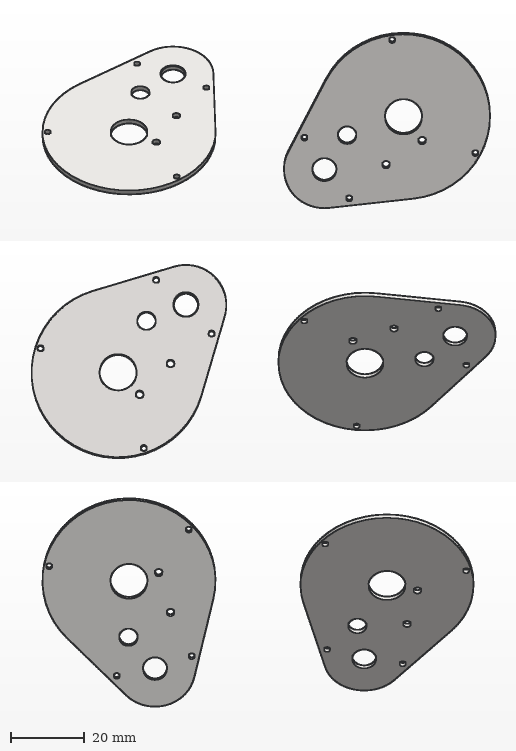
import cadquery as cq
import math

length = 60.75
thickness = 1.5
large_radius = 23.5
small_radius = 11.0
center_distance = length - large_radius - small_radius

main_bore_diameter = 10.0
upper_bore_diameter = 6.5
upper_bore_chamfer = 0.2
side_hole_diameter = 5.0
side_hole_center = (-4.5, 15.55)

pair_hole_diameter = 2.05
pair_hole_centers = [(8.45, -0.25), (8.45, 11.7)]

rim_hole_diameter = 1.65
upper_rim_hole = (10.6, 25.45)
lower_rim_hole = (19.7, -10.0)


def teardrop():
    """Return the plate blank with straight flanks tangent to both discs."""
    tangent_angle = math.asin((large_radius - small_radius) / center_distance)
    across = math.cos(tangent_angle)
    along = math.sin(tangent_angle)
    large_x = large_radius * across
    large_y = large_radius * along
    small_x = small_radius * across
    small_y = center_distance + small_radius * along
    return (
        cq.Workplane("XY")
        .moveTo(large_x, large_y)
        .lineTo(small_x, small_y)
        .threePointArc((0, center_distance + small_radius), (-small_x, small_y))
        .lineTo(-large_x, large_y)
        .threePointArc((0, -large_radius), (large_x, large_y))
        .close()
        .extrude(thickness)
    )


def drill(plate, centers, diameter):
    """Cut a round through hole at each centre."""
    cutters = cq.Workplane("XY").pushPoints(centers).circle(diameter / 2).extrude(thickness)
    return plate.cut(cutters)


def chamfer_upper_bore(plate):
    """Bevel the top edge of the upper bore."""
    bore_radius = upper_bore_diameter / 2
    cutter = (
        cq.Workplane("XY", origin=(0, center_distance, thickness))
        .circle(bore_radius + upper_bore_chamfer)
        .extrude(-upper_bore_chamfer, taper=45)
    )
    return plate.cut(cutter)


rim_hole_centers = [
    (side * x, y)
    for x, y in (upper_rim_hole, lower_rim_hole)
    for side in (-1, 1)
]

plate = teardrop()
plate = drill(plate, [(0, 0)], main_bore_diameter)
plate = drill(plate, [(0, center_distance)], upper_bore_diameter)
plate = drill(plate, [side_hole_center], side_hole_diameter)
plate = drill(plate, pair_hole_centers, pair_hole_diameter)
plate = drill(plate, rim_hole_centers, rim_hole_diameter)
result = chamfer_upper_bore(plate)